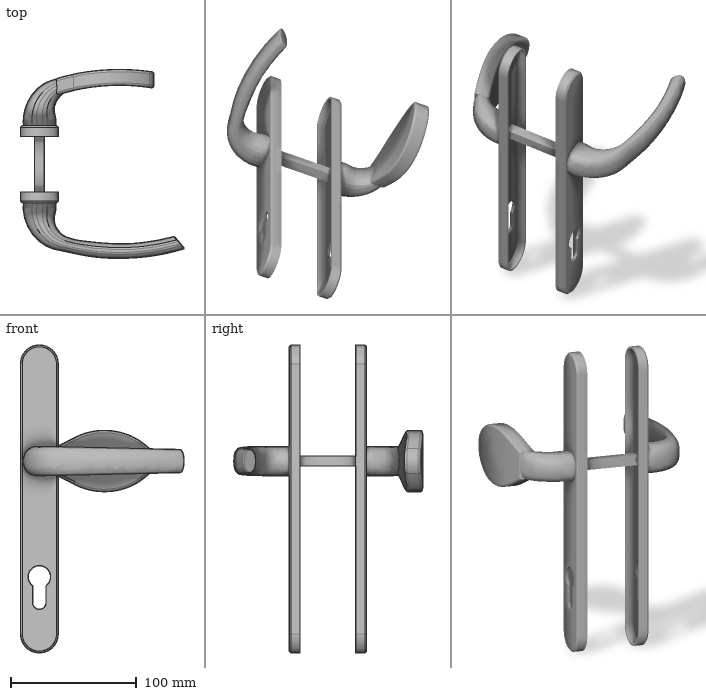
import cadquery as cq
import math


PLATE_LENGTH = 245
PLATE_WIDTH = 30.1
PLATE_DEPTH = 8.8
PLATE_CENTRE_Z = -30.1
PLATE_GAP = 44
WALL = 1.7
WEB = 2.2
RIM_CHAMFER = 1.5
plate_outer_y = PLATE_GAP / 2 + PLATE_DEPTH
web_inner_y = plate_outer_y - WEB

KEYHOLE_DROP = 92.0
KEYHOLE_RADIUS = 8.8
SLOT_WIDTH = 10.5
SLOT_REACH = 25.7

SPINDLE_SIDE = 8.0

NECK_X = 0.37
BEND_RADIUS = 26.0
GRIP_RADIUS = 171.5
GRIP_APEX_X = 63.7
GRIP_APEX_Y = 69.0
GRIP_START_ANGLE = 15
GRIP_END_ANGLE = 22

bend_sweep = 90 - GRIP_START_ANGLE
grip_sweep = GRIP_START_ANGLE + GRIP_END_ANGLE
grip_start_x = GRIP_APEX_X - GRIP_RADIUS * math.sin(math.radians(GRIP_START_ANGLE))
grip_centre_y = GRIP_APEX_Y - GRIP_RADIUS
bend_start_y = (
    grip_centre_y
    + GRIP_RADIUS * math.cos(math.radians(GRIP_START_ANGLE))
    - BEND_RADIUS * math.sin(math.radians(bend_sweep))
)
bend_centre_x = grip_start_x + BEND_RADIUS * math.cos(math.radians(bend_sweep))

BEND_STEPS = 4
GRIP_STEPS = 5

NECK_HALF_DEPTH = 12.7
GRIP_HALF_DEPTH = 6.0
NECK_HALF_HEIGHT = 11.8
TIP_HALF_HEIGHT = 9.3
FLAT_SHARE = 0.18
SEAM_ANGLE = 70

TIP_X = 111.5
TIP_Y = 62.2
TIP_SLANT = 50
TIP_CUT_SIZE = 49
TIP_FILLET = 0.7

PADDLE_HALF_THICKNESS = 6.4
PADDLE_START = (13.5, 11.3)
PADDLE_SHOULDER = (27, 18.1)
PADDLE_CREST = (51.5, 24.5)
PADDLE_CORNER = (87.7, 9.8)
PADDLE_END_X = 91.1
PADDLE_FILLET = 2.0
NECK_CUT_SIZE = 196


def plate(side):
    """Tray with a rounded-end outline and a keyhole, on the +Y side (side 1) or the -Y side (side -1)."""
    def stadium(y, inset):
        return (
            cq.Workplane("XZ", origin=(0, y, PLATE_CENTRE_Z))
            .slot2D(PLATE_LENGTH - 2 * inset, PLATE_WIDTH - 2 * inset, 90)
        )

    body = stadium(PLATE_GAP / 2, 0).extrude(-PLATE_DEPTH)
    body = body.faces(">Y").edges().chamfer(RIM_CHAMFER)
    body = body.cut(stadium(PLATE_GAP / 2, WALL).extrude(-(PLATE_DEPTH - WEB)))
    body = body.cut(keyhole())
    return body if side > 0 else body.mirror("XZ")


def keyhole():
    keyhole_plane = cq.Workplane("XZ", origin=(0, 0, -KEYHOLE_DROP))
    slot_end = SLOT_REACH - SLOT_WIDTH / 2
    barrel = keyhole_plane.circle(KEYHOLE_RADIUS).extrude(-plate_outer_y)
    slot = (
        keyhole_plane.center(0, -slot_end / 2)
        .slot2D(slot_end + SLOT_WIDTH, SLOT_WIDTH, 90)
        .extrude(-plate_outer_y)
    )
    return barrel.union(slot)


def spindle():
    """Square bar between the inner faces of the two plate webs."""
    return cq.Workplane("XY").box(SPINDLE_SIDE, 2 * web_inner_y, SPINDLE_SIDE)


def section(x, y, heading, half_depth, half_height):
    """Handle cross-section wire: narrow flats at top and bottom joined by bulging sides.

    The heading is the angle of the centreline from +X towards +Y.
    """
    turn = math.radians(heading)
    plane = cq.Plane(
        origin=(x, y, 0),
        xDir=(math.sin(turn), -math.cos(turn), 0),
        normal=(math.cos(turn), math.sin(turn), 0),
    )
    flat = FLAT_SHARE * half_depth
    bulge = half_depth - flat
    seam_x = flat + bulge * math.cos(math.radians(SEAM_ANGLE))
    seam_z = half_height * math.sin(math.radians(SEAM_ANGLE))
    lean_x = bulge * math.sin(math.radians(SEAM_ANGLE))
    lean_z = half_height * math.cos(math.radians(SEAM_ANGLE))

    def side(outline, sign):
        """One bulging side: upwards at +X of the plane (sign +1), downwards at -X (sign -1)."""
        leaving_lean = (sign * lean_x, sign * lean_z)
        returning_lean = (-sign * lean_x, sign * lean_z)
        first_seam = (sign * seam_x, -sign * seam_z)
        middle = (sign * half_depth, 0)
        second_seam = (sign * seam_x, sign * seam_z)
        flat_end = (sign * flat, sign * half_height)
        return (
            outline
            .spline([first_seam], [(sign, 0), leaving_lean], includeCurrent=True)
            .spline([middle, second_seam], [leaving_lean, (0, sign), returning_lean], includeCurrent=True)
            .spline([flat_end], [returning_lean, (-sign, 0)], includeCurrent=True)
        )

    outline = cq.Workplane(plane).moveTo(-flat, -half_height).lineTo(flat, -half_height)
    outline = side(outline, 1).lineTo(-flat, half_height)
    return side(outline, -1).close().val()


def half_height_at(x):
    """Half height tapers evenly from the neck to the tip."""
    return NECK_HALF_HEIGHT + (TIP_HALF_HEIGHT - NECK_HALF_HEIGHT) * (x - NECK_X) / (TIP_X - NECK_X)


def arc_section(centre_x, centre_y, radius, heading, half_depth):
    """Section where an arc of the centreline has the given heading."""
    turn = math.radians(heading)
    x = centre_x - radius * math.sin(turn)
    y = centre_y + radius * math.cos(turn)
    return section(x, y, heading, half_depth, half_height_at(x))


def bend_section(turned_share):
    half_depth = NECK_HALF_DEPTH + (GRIP_HALF_DEPTH - NECK_HALF_DEPTH) * turned_share
    heading = 90 - bend_sweep * turned_share
    return arc_section(bend_centre_x, bend_start_y, BEND_RADIUS, heading, half_depth)


def grip_section(heading):
    return arc_section(GRIP_APEX_X, grip_centre_y, GRIP_RADIUS, heading, GRIP_HALF_DEPTH)


def handle_bar():
    """Tapering bar on the +Y side that runs from the plate to beyond the lever tip."""
    sections = [section(NECK_X, plate_outer_y, 90, NECK_HALF_DEPTH, NECK_HALF_HEIGHT)]
    for step in range(BEND_STEPS):
        sections.append(bend_section(step / BEND_STEPS))
    for step in range(GRIP_STEPS + 1):
        sections.append(grip_section(GRIP_START_ANGLE - grip_sweep * step / GRIP_STEPS))
    return cq.Workplane(cq.Solid.makeLoft(sections))


def lever():
    """Slender lever on the +Y side, ending in a slanted tip."""
    slant = math.radians(TIP_SLANT)
    tip_direction = cq.Vector(math.sin(slant), -math.cos(slant), 0)
    tip_plane = cq.Plane(origin=(TIP_X, TIP_Y, 0), xDir=(0, 0, 1), normal=tip_direction)
    beyond_tip = cq.Workplane(tip_plane).rect(TIP_CUT_SIZE, TIP_CUT_SIZE).extrude(TIP_CUT_SIZE)
    body = handle_bar().cut(beyond_tip)
    tip_face = body.faces(cq.selectors.DirectionMinMaxSelector(tip_direction))
    return tip_face.edges().fillet(TIP_FILLET)


def paddle():
    """Curved oval plate that follows the grip arc."""
    def mirrored(point):
        return (point[0], -point[1])

    outline = (
        cq.Workplane("XZ")
        .moveTo(*PADDLE_START)
        .lineTo(*PADDLE_SHOULDER)
        .threePointArc(PADDLE_CREST, PADDLE_CORNER)
        .threePointArc((PADDLE_END_X, 0), mirrored(PADDLE_CORNER))
        .threePointArc(mirrored(PADDLE_CREST), mirrored(PADDLE_SHOULDER))
        .lineTo(*mirrored(PADDLE_START))
        .close()
        .extrude(-2 * GRIP_APEX_Y)
    )
    curved_slab = (
        cq.Workplane("XY", origin=(GRIP_APEX_X, grip_centre_y, 0))
        .circle(GRIP_RADIUS + PADDLE_HALF_THICKNESS)
        .circle(GRIP_RADIUS - PADDLE_HALF_THICKNESS)
        .extrude(PADDLE_CREST[1] * 2, both=True)
    )
    return outline.intersect(curved_slab).edges("not |Y").fillet(PADDLE_FILLET)


def pull():
    """Pull handle on the +Y side: the lever's neck and bend carrying the paddle."""
    beyond_neck = (
        cq.Workplane("XY")
        .box(NECK_CUT_SIZE, NECK_CUT_SIZE, NECK_CUT_SIZE, centered=(False, True, True))
        .translate((grip_start_x, GRIP_APEX_Y, 0))
    )
    neck = handle_bar().cut(beyond_neck)
    return neck.union(paddle())


plates = [plate(side) for side in (1, -1)]
front_lever = lever().mirror("XZ")
rear_pull = pull()
square_spindle = spindle()

result = cq.Compound.makeCompound([
    *[body.val() for body in plates],
    square_spindle.val(),
    front_lever.val(),
    rear_pull.val(),
])